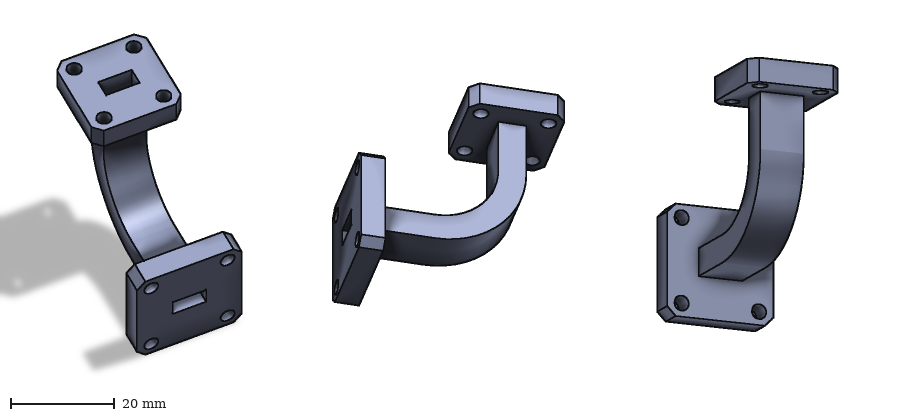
import cadquery as cq

length_x = 41.25
height_z = 42.95
bore_thin, bore_wide = 3.55, 7.13
tube_thin, tube_wide = 5.6, 9.15
bend_radius = 15.5

flange_thickness = 4.8
corner_chamfer = 1.8
hole_diameter = 2.95
small_side = 19.05
small_hole_x, small_hole_y = 13.45, 12.7
large_side = 22.35
large_hole_y, large_hole_z = 16.25, 17.0

vertical_axis_x = small_side / 2
horizontal_axis_z = large_side / 2


def bent_bar(thin, wide):
    """Sweep a rectangle from the top face, round the bend, to the +X face."""
    path = (
        cq.Workplane("XZ")
        .moveTo(vertical_axis_x, height_z)
        .lineTo(vertical_axis_x, horizontal_axis_z + bend_radius)
        .radiusArc((vertical_axis_x + bend_radius, horizontal_axis_z), -bend_radius)
        .lineTo(length_x, horizontal_axis_z)
    )
    start = cq.Workplane("XY", origin=(vertical_axis_x, 0, height_z))
    return start.rect(thin, wide).sweep(path)


def flange(plane, normal_axis, side, hole_spacing_u, hole_spacing_v):
    """Square plate with cut corners and four holes, extruded along the plane normal."""
    plate = (
        cq.Workplane(plane)
        .rect(side, side)
        .extrude(flange_thickness)
        .edges("|" + normal_axis)
        .chamfer(corner_chamfer)
    )
    holes = (
        cq.Workplane(plane)
        .rect(hole_spacing_u, hole_spacing_v, forConstruction=True)
        .vertices()
        .circle(hole_diameter / 2)
        .extrude(flange_thickness)
    )
    return plate.cut(holes)


top_flange = flange("XY", "Z", small_side, small_hole_x, small_hole_y).translate(
    (vertical_axis_x, 0, height_z - flange_thickness)
)
end_flange = flange("YZ", "X", large_side, large_hole_y, large_hole_z).translate(
    (length_x - flange_thickness, 0, horizontal_axis_z)
)

tube = bent_bar(tube_thin, tube_wide)
bore = bent_bar(bore_thin, bore_wide)
result = tube.union(top_flange).union(end_flange).cut(bore)